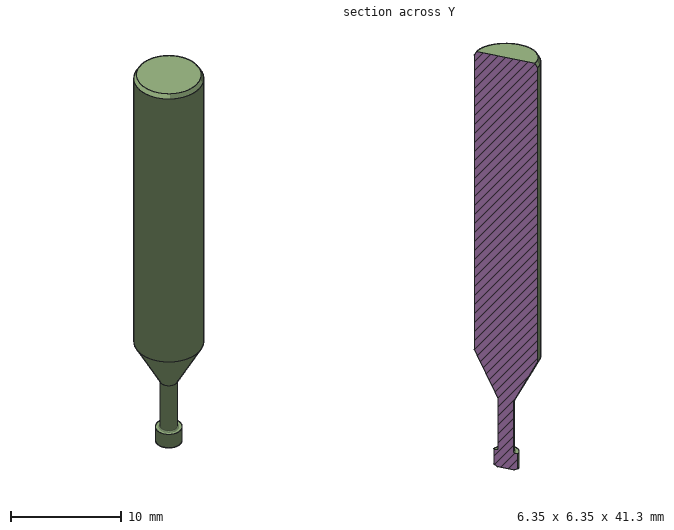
import cadquery as cq

total_length = 41.3
shank_diameter = 6.35
neck_diameter = 1.6
head_diameter = 2.45
head_height = 1.75
neck_fillet_radius = 0.1
cone_bottom_z = 6.9
cone_top_z = 11.3
shank_chamfer_width = 0.25
shank_chamfer_height = 0.4
head_chamfer_width = 0.37
head_chamfer_height = 0.2

shank_radius = shank_diameter / 2
neck_radius = neck_diameter / 2
head_radius = head_diameter / 2

profile = (
    cq.Workplane("XZ")
    .moveTo(0, 0)
    .lineTo(head_radius - head_chamfer_width, 0)
    .lineTo(head_radius, head_chamfer_height)
    .lineTo(head_radius, head_height)
    .lineTo(neck_radius + neck_fillet_radius, head_height)
    .radiusArc((neck_radius, head_height + neck_fillet_radius), neck_fillet_radius)
    .lineTo(neck_radius, cone_bottom_z)
    .lineTo(shank_radius, cone_top_z)
    .lineTo(shank_radius, total_length - shank_chamfer_height)
    .lineTo(shank_radius - shank_chamfer_width, total_length)
    .lineTo(0, total_length)
    .close()
)

result = profile.revolve(360, (0, 0, 0), (0, 1, 0))